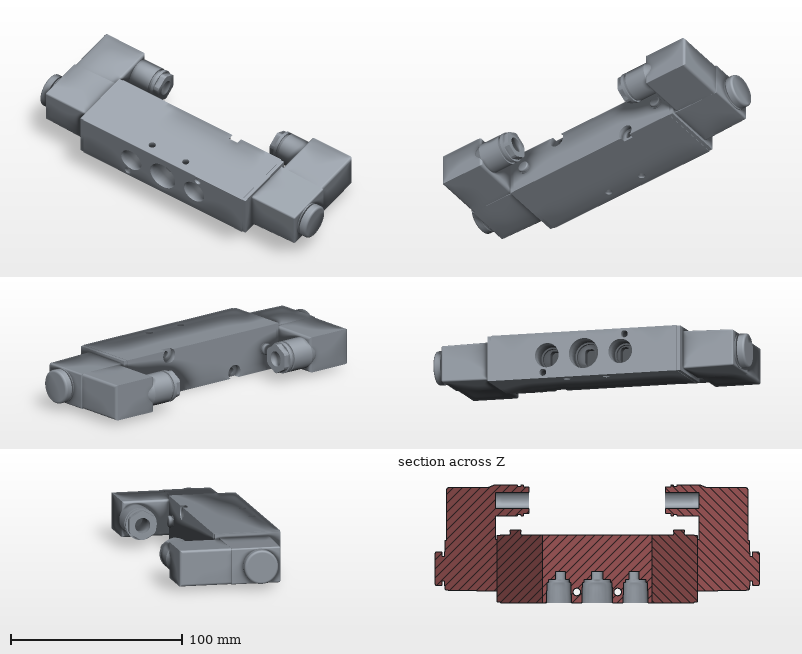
import cadquery as cq
import math


body_length = 64.5
body_depth = 40.0
body_height = 27.0
spool_y = body_depth / 2
body_end_x = body_length / 2

port_depth = 11.8
port_narrowing = 0.4
port_drill_inset = 1.3
port_drill_depth = 1.9
center_port_radius = 9.0
side_port_radius = 7.2
side_port_x = 22.4
slot_height = 9.7
slot_depth = 4.7
slot_corner_radius = 2.3
center_slot_width = 6.3
side_slot_width = 5.7
side_slot_x = 21.5

mount_radius = 2.0
cross_hole_x = 12.0
cross_hole_y = 6.5
long_hole_x = 24.9
long_hole_z = 10.0
counterbore_radius = 4.5
counterbore_depth = 3.5

cap_length = 24.3
cap_end_x = body_end_x + cap_length
flange_thickness = 2.3
flange_inset_y = 0.4
flange_inset_z = 0.2
coil_base_x = cap_end_x + flange_thickness

button_x = 47.8
button_radius = 3.5
button_neck_radius = 3.0
button_base_height = 0.4
button_neck_height = 1.0
button_head_height = 1.5
button_fillet = 0.8

coil_length = 30.2
coil_tip_x = coil_base_x + coil_length
coil_center_y = 22.0
coil_base_depth = 30.4
coil_base_height = 22.4
coil_draft = 1.0
coil_fillet = 1.0

connector_inner_x = 59.5
connector_outer_x = 88.3
connector_bottom_y = 36.6
connector_top_y = 67.5
connector_height = 21.5
connector_fillet = 1.5

gland_radius = 9.3
gland_y = 60.0
gland_cone_radius = 7.4
gland_cone_x = 64.5
gland_shoulder_x = 59.8
gland_groove_radius = 8.4
gland_groove_outer_x = 46.5
gland_groove_inner_x = 44.8
gland_collar_x = 43.0
nut_end_x = 39.7
nut_across_flats = 15.8
nut_corner_diameter = 17.3
nut_sides = 6
bore_radius = 4.5

knob_tip_x = 94.9
knob_radius = 10.0
knob_neck_radius = 7.2
knob_base_thickness = 0.5
knob_neck_length = 1.0
knob_fillet = 1.3


def rod_x(radius, start_x, end_x, y):
    """Cylinder along X at height Z = 0."""
    return cq.Workplane("YZ", origin=(start_x, y, 0)).circle(radius).extrude(end_x - start_x)


def rod_y(radius, x, z, start_y, length):
    """Cylinder pointing toward +Y."""
    return cq.Workplane("XZ", origin=(x, start_y, z)).circle(radius).extrude(-length)


def port_cutter(radius, x, slot_x, slot_width):
    """Tapered port, a smaller drill hole behind it, and an upright slot in the floor."""
    mouth = cq.Workplane("XZ", origin=(x, 0, 0)).circle(radius)
    bore = mouth.workplane(offset=-port_depth).circle(radius - port_narrowing).loft()
    drill_end_y = port_depth + port_drill_depth
    drill = rod_y(radius - port_drill_inset, x, 0, 0, drill_end_y)
    slot = (
        cq.Workplane("XY")
        .box(slot_width, slot_depth, slot_height)
        .edges("|Y")
        .fillet(slot_corner_radius)
        .translate((slot_x, drill_end_y + slot_depth / 2, 0))
    )
    return bore.union(drill).union(slot)


def make_valve_body():
    body = cq.Workplane("XY").box(body_length, body_depth, body_height).translate((0, spool_y, 0))

    body = body.cut(port_cutter(center_port_radius, 0, 0, center_slot_width))
    for side in (-1, 1):
        body = body.cut(port_cutter(side_port_radius, side * side_port_x, side * side_slot_x, side_slot_width))

    cross_holes = (
        cq.Workplane("XY", origin=(0, cross_hole_y, -body_height / 2))
        .pushPoints([(-cross_hole_x, 0), (cross_hole_x, 0)])
        .circle(mount_radius)
        .extrude(body_height)
    )
    body = body.cut(cross_holes)

    for side in (-1, 1):
        hole = rod_y(mount_radius, side * long_hole_x, side * long_hole_z, 0, body_depth)
        counterbore = rod_y(
            counterbore_radius, side * long_hole_x, side * long_hole_z,
            body_depth - counterbore_depth, counterbore_depth,
        )
        body = body.cut(hole).cut(counterbore)
    return body


def make_override_button():
    neck_y = body_depth + button_base_height
    head_y = neck_y + button_neck_height
    base = rod_y(button_radius, button_x, 0, body_depth, button_base_height)
    neck = rod_y(button_neck_radius, button_x, 0, neck_y, button_neck_height)
    head = rod_y(button_radius, button_x, 0, head_y, button_head_height)
    head = head.faces(">Y").edges().fillet(button_fillet)
    return base.union(neck).union(head)


def make_end_cap():
    block = (
        cq.Workplane("YZ", origin=(body_end_x, spool_y, 0))
        .rect(body_depth, body_height)
        .extrude(cap_length)
    )
    flange = (
        cq.Workplane("YZ", origin=(cap_end_x, spool_y, 0))
        .rect(body_depth - 2 * flange_inset_y, body_height - 2 * flange_inset_z)
        .extrude(flange_thickness)
    )
    return block.union(flange).union(make_override_button())


def make_coil():
    coil = (
        cq.Workplane("YZ", origin=(coil_base_x, coil_center_y, 0))
        .rect(coil_base_depth, coil_base_height)
        .extrude(coil_length, taper=coil_draft)
    )
    long_edges = coil.faces("<Y").edges("not |Z")
    tip_edges = coil.faces(">X").edges("not >Y")
    return coil.newObject(long_edges.vals() + tip_edges.vals()).fillet(coil_fillet)


def make_connector():
    length = connector_outer_x - connector_inner_x
    depth = connector_top_y - connector_bottom_y
    block = (
        cq.Workplane("XY")
        .box(length, depth, connector_height)
        .translate((connector_inner_x + length / 2, connector_bottom_y + depth / 2, 0))
    )
    return block.faces("<X or >X").edges("not <Y").fillet(connector_fillet)


def make_gland():
    barrel = rod_x(gland_radius, gland_groove_outer_x, gland_shoulder_x, gland_y)
    cone_base = cq.Workplane("YZ", origin=(gland_shoulder_x, gland_y, 0)).circle(gland_radius)
    cone = cone_base.workplane(offset=gland_cone_x - gland_shoulder_x).circle(gland_cone_radius).loft()
    groove = rod_x(gland_groove_radius, gland_groove_inner_x, gland_groove_outer_x, gland_y)
    collar = rod_x(gland_radius, gland_collar_x, gland_groove_inner_x, gland_y)

    across_corners = nut_across_flats / math.cos(math.pi / nut_sides)
    nut = (
        cq.Workplane("YZ", origin=(nut_end_x, gland_y, 0))
        .transformed(rotate=(0, 0, 180 / nut_sides))
        .polygon(nut_sides, across_corners)
        .extrude(gland_collar_x - nut_end_x)
        .intersect(rod_x(nut_corner_diameter / 2, nut_end_x, gland_collar_x, gland_y))
    )
    return barrel.union(cone).union(groove).union(collar).union(nut)


def make_knob():
    neck_x = coil_tip_x + knob_base_thickness
    head_x = neck_x + knob_neck_length
    base = rod_x(knob_radius, coil_tip_x, neck_x, spool_y)
    neck = rod_x(knob_neck_radius, neck_x, head_x, spool_y)
    head = rod_x(knob_radius, head_x, knob_tip_x, spool_y)
    head = head.faces(">X").edges().fillet(knob_fillet)
    return base.union(neck).union(head)


def make_solenoid():
    cable_bore = rod_x(bore_radius, nut_end_x, connector_inner_x, gland_y)
    solenoid = make_coil().union(make_connector()).union(make_gland()).union(make_knob())
    return solenoid.cut(cable_bore)


valve_body = make_valve_body()
right_cap = make_end_cap()
right_solenoid = make_solenoid()

bodies = [valve_body.val()]
for right_part in (right_cap, right_solenoid):
    bodies.append(right_part.val())
    bodies.append(right_part.mirror("YZ").val())

result = cq.Compound.makeCompound(bodies)